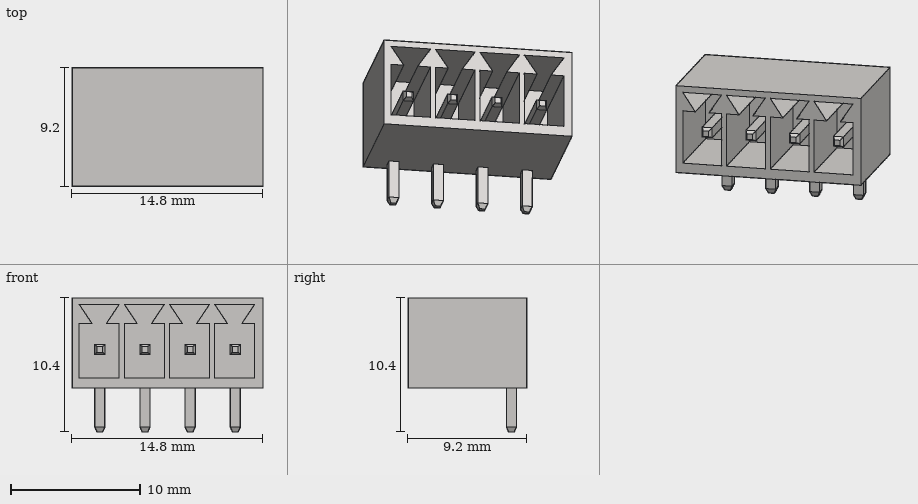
import cadquery as cq

PIN_COUNT = 4
PITCH = 3.5

HOUSING_LENGTH = 14.8
HOUSING_DEPTH = 9.2
HOUSING_HEIGHT = 7.0

SOCKET_SHIFT = -0.05
DIVIDER = 0.4
FLOOR = 0.8
ROOF = 0.5
KEYWAY_HEIGHT = 1.5
KEYWAY_NECK = 1.1
BACK_WALL = 2.0

PIN_WIDTH = 0.8
TIP_WIDTH = 0.44
TIP_LENGTH = 0.4
TAIL_LENGTH = 3.4
TAIL_TO_BACK = 1.2
PIN_HEIGHT = 3.0
PIN_RECESS = 1.0

socket_width = PITCH - DIVIDER
socket_depth = HOUSING_DEPTH - BACK_WALL
keyway_top = HOUSING_HEIGHT - ROOF
keyway_bottom = keyway_top - KEYWAY_HEIGHT
front_y = -HOUSING_DEPTH / 2
tail_y = HOUSING_DEPTH / 2 - TAIL_TO_BACK
pin_positions = [(i - (PIN_COUNT - 1) / 2) * PITCH for i in range(PIN_COUNT)]


def make_housing():
    """Plain rectangular block standing on Z = 0."""
    return cq.Workplane("XY").box(
        HOUSING_LENGTH, HOUSING_DEPTH, HOUSING_HEIGHT, centered=(True, True, False)
    )


def make_socket(x):
    """Pocket and dovetail keyway, cut from the mating face toward +Y."""
    half_socket = socket_width / 2
    half_neck = KEYWAY_NECK / 2
    outline = [
        (x - half_socket, FLOOR),
        (x + half_socket, FLOOR),
        (x + half_socket, keyway_bottom),
        (x + half_neck, keyway_bottom),
        (x + half_socket, keyway_top),
        (x - half_socket, keyway_top),
        (x - half_neck, keyway_bottom),
        (x - half_socket, keyway_bottom),
    ]
    mating_face = cq.Workplane("XZ", origin=(0, front_y, 0))
    return mating_face.polyline(outline).close().extrude(-socket_depth)


def make_bar(start, direction, length):
    """Square bar from start along direction, ending in a tapered tip included in length."""
    shank_length = length - TIP_LENGTH
    plane = cq.Plane(origin=start, xDir=(1, 0, 0), normal=direction)
    shank = cq.Workplane(plane).rect(PIN_WIDTH, PIN_WIDTH).extrude(shank_length)
    tip = (
        cq.Workplane(plane)
        .workplane(offset=shank_length)
        .rect(PIN_WIDTH, PIN_WIDTH)
        .workplane(offset=TIP_LENGTH)
        .rect(TIP_WIDTH, TIP_WIDTH)
        .loft(ruled=True)
    )
    return shank.union(tip)


def make_pin(x):
    """Right-angle pin: contact toward -Y, solder tail toward -Z."""
    half_pin = PIN_WIDTH / 2
    contact_start = tail_y + half_pin
    contact_length = contact_start - (front_y + PIN_RECESS)
    contact = make_bar((x, contact_start, PIN_HEIGHT), (0, -1, 0), contact_length)
    tail = make_bar((x, tail_y, PIN_HEIGHT), (0, 0, -1), PIN_HEIGHT + TAIL_LENGTH)
    return contact.union(tail)


result = make_housing()
for pin_x in pin_positions:
    result = result.cut(make_socket(pin_x + SOCKET_SHIFT))
for pin_x in pin_positions:
    result = result.union(make_pin(pin_x))